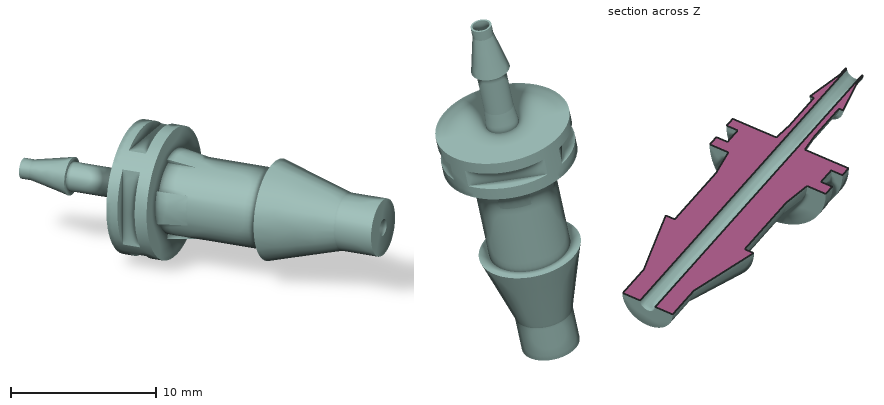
import cadquery as cq

length = 27.08
x_start = -length / 2
x_small_taper = x_start + 0.75
x_small_barb = x_start + 3.68
x_flare = x_start + 6.88
x_flange = x_start + 8.35
flange_thickness = 3.03
x_flange_back = x_flange + flange_thickness
x_large_barb = x_start + 18.93
x_large_taper = x_start + 24.32
x_end = x_start + length

bore_radius = 0.6
small_tip_radius = 0.73
small_barb_radius = 1.35
neck_radius = 1.03
flare_radius = 1.16
flange_radius = 4.698
body_radius = 2.85
large_barb_radius = 3.57
large_tip_radius = 2.03

notch_count = 4
notch_offset = 0.85
notch_width = 1.3
notch_floor = 3.8

rib_count = 4
rib_length = 2.17
rib_radius = 3.2
rib_angle = 45.0


def make_body():
    """Stepped solid of revolution about X."""
    profile = [
        (x_start, 0),
        (x_start, small_tip_radius),
        (x_small_taper, small_tip_radius),
        (x_small_barb, small_barb_radius),
        (x_small_barb, neck_radius),
        (x_flare, neck_radius),
        (x_flange, flare_radius),
        (x_flange, flange_radius),
        (x_flange_back, flange_radius),
        (x_flange_back, body_radius),
        (x_large_barb, body_radius),
        (x_large_barb, large_barb_radius),
        (x_large_taper, large_tip_radius),
        (x_end, large_tip_radius),
        (x_end, 0),
    ]
    return cq.Workplane("XY").polyline(profile).close().revolve(360, (0, 0, 0), (1, 0, 0))


def make_notch(angle):
    """Block that cuts one flat into the flange rim."""
    block = cq.Workplane("XY").box(
        notch_width, 2 * flange_radius, flange_radius, centered=(False, True, False)
    )
    block = block.translate((x_flange + notch_offset, 0, notch_floor))
    return block.rotate((0, 0, 0), (1, 0, 0), angle)


def make_rib(angle):
    """Conical sector that tapers from the flange down to the body surface."""
    profile = [
        (x_flange_back, 0),
        (x_flange_back, rib_radius),
        (x_flange_back + rib_length, body_radius),
        (x_flange_back + rib_length, 0),
    ]
    rib = cq.Workplane("XY").polyline(profile).close().revolve(rib_angle, (0, 0, 0), (1, 0, 0))
    return rib.rotate((0, 0, 0), (1, 0, 0), angle - rib_angle / 2)


result = make_body()
for index in range(rib_count):
    result = result.union(make_rib(index * 360 / rib_count))
for index in range(notch_count):
    result = result.cut(make_notch(index * 360 / notch_count))

bore = cq.Workplane("YZ").workplane(offset=x_start).circle(bore_radius).extrude(length)
result = result.cut(bore)